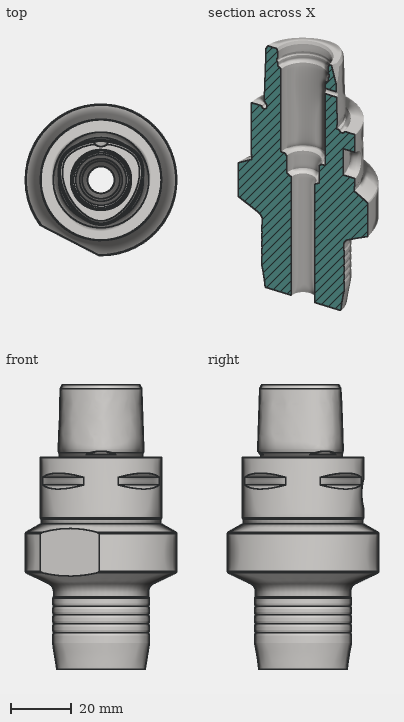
import cadquery as cq
import math

overall_height = 94.0
nose_taper_top = 8.7
groove_first = 12.1
groove_pitch = 2.9
groove_count = 4
groove_width = 1.8
land_top = 23.4
neck_bottom = 24.0
neck_top = 25.8
neck_fillet_top = 28.3
flange_bottom = 31.9
flange_top = 45.2
collar_neck_bottom = 48.0
collar_neck_top = 49.5
collar_bottom = 50.1
collar_top = 70.0
shank_neck_top = 71.5
shank_bottom = 72.8
shank_top = 92.6

nose_end_radius = 14.6
nose_radius = 16.0
groove_depth = 0.3
neck_radius = nose_radius - groove_depth
neck_fillet_outer_radius = 17.3
flange_radius = 25.0
flange_edge_width = 0.3
flange_edge_height = 0.5
collar_neck_radius = 19.7
collar_radius = 20.0
collar_edge = 0.2

flat_distance = 22.5
flat_angle = 27.3

slot_height = 62.1
slot_floor_distance = 17.6
slot_floor_width = 2.4
slot_wall_angle = 30.0
slot_overrun = 0.9

pocket_height = 58.0
pocket_diameter = 10.0
pocket_depth = 4.5

lobe_height = 0.8
shank_bottom_radius = 14.1
shank_top_radius = 13.4
shank_end_radius = 12.7
shank_edge_radius = 14.0
shank_neck_radius = 13.8
outline_points = 72

relief_inner_radius = 14.0
relief_outer_radius = 15.8
relief_trough_radius = (relief_outer_radius - relief_inner_radius) / 2
relief_wall_top = 70.9
relief_run_out_radius = 15.4
relief_run_out_top = 72.8

bore_mouth_radius = 10.1
bore_entry_radius = 9.6
bore_groove_radius = 10.0
bore_radius = 8.4
bore_step_radius = 9.0
seat_radius = 7.05
seat_bore_radius = 6.2
through_radius = 4.4
mouth_chamfer_bottom = 93.0
bore_groove_top = 90.1
bore_groove_bottom = 89.1
bore_groove_chamfer_bottom = 88.7
bore_step_top = 87.1
bore_step_bottom = 86.5
bore_floor = 54.5
seat_bore_top = 53.7
seat_bore_bottom = 47.0
seat_cone_bottom = 46.0

radial_hole_diameter = 1.9
radial_hole_height = 83.3
notch_radius = 3.0
notch_edge_distance = 11.0
notch_tilt = 75.0


def make_body():
    """Turned body: tapered nose with grooves, flange and collar."""
    edge_radius = flange_radius - flange_edge_width
    profile = (
        cq.Workplane("XZ")
        .lineTo(nose_end_radius, 0)
        .lineTo(nose_radius, nose_taper_top)
    )
    for index in range(groove_count):
        middle = groove_first + index * groove_pitch
        profile = (
            profile.lineTo(nose_radius, middle - groove_width / 2)
            .lineTo(nose_radius - groove_depth, middle)
            .lineTo(nose_radius, middle + groove_width / 2)
        )
    profile = (
        profile.lineTo(nose_radius, land_top)
        .lineTo(neck_radius, neck_bottom)
        .lineTo(neck_radius, neck_top)
        .tangentArcPoint((neck_fillet_outer_radius, neck_fillet_top), relative=False)
        .lineTo(edge_radius, flange_bottom)
        .lineTo(flange_radius, flange_bottom + flange_edge_height)
        .lineTo(flange_radius, flange_top - flange_edge_height)
        .lineTo(edge_radius, flange_top)
        .lineTo(collar_neck_radius, collar_neck_bottom)
        .lineTo(collar_neck_radius, collar_neck_top)
        .lineTo(collar_radius, collar_bottom)
        .lineTo(collar_radius, collar_top - collar_edge)
        .lineTo(collar_radius - collar_edge, collar_top)
        .lineTo(0, collar_top)
        .close()
    )
    return profile.revolve(360, (0, 0, 0), (0, 1, 0))


def lobed_outline(plane, mean_radius):
    """Closed constant-width outline with three lobes, one of them toward -Y."""

    def point(fraction):
        angle = 2 * math.pi * fraction
        lobe_phase = 3 * (angle + math.pi / 2)
        support = mean_radius + lobe_height * math.cos(lobe_phase)
        slope = -3 * lobe_height * math.sin(lobe_phase)
        x = support * math.cos(angle) - slope * math.sin(angle)
        y = support * math.sin(angle) + slope * math.cos(angle)
        return (x, y)

    corners = [point(index / outline_points) for index in range(outline_points)]
    return plane.spline(corners, periodic=True).close()


def lobed_frustum(bottom, bottom_radius, top, top_radius):
    lower = lobed_outline(cq.Workplane("XY").workplane(offset=bottom), bottom_radius)
    upper = lobed_outline(lower.workplane(offset=top - bottom), top_radius)
    return upper.loft(ruled=True, combine=True)


def make_shank():
    root = collar_top - 2 * relief_trough_radius
    neck = lobed_frustum(root, shank_neck_radius, shank_neck_top, shank_neck_radius)
    lower_edge = lobed_frustum(shank_neck_top, shank_edge_radius, shank_bottom, shank_bottom_radius)
    taper = lobed_frustum(shank_bottom, shank_bottom_radius, shank_top, shank_top_radius)
    upper_edge = lobed_frustum(shank_top, shank_top_radius, overall_height, shank_end_radius)
    return neck.union(lower_edge).union(taper).union(upper_edge)


def make_root_relief():
    """Ring that rounds a trough into the collar face and trims the lobe tips."""
    middle_radius = relief_inner_radius + relief_trough_radius
    return (
        cq.Workplane("XZ")
        .moveTo(relief_inner_radius, relief_wall_top)
        .lineTo(relief_inner_radius, collar_top)
        .threePointArc(
            (middle_radius, collar_top - relief_trough_radius),
            (relief_outer_radius, collar_top),
        )
        .lineTo(relief_run_out_radius, relief_run_out_top)
        .close()
        .revolve(360, (0, 0, 0), (0, 1, 0))
    )


def make_bore():
    fillet = bore_entry_radius - bore_step_radius
    return (
        cq.Workplane("XZ")
        .lineTo(through_radius, 0)
        .lineTo(through_radius, seat_cone_bottom)
        .lineTo(seat_bore_radius, seat_bore_bottom)
        .lineTo(seat_bore_radius, seat_bore_top)
        .lineTo(seat_radius, bore_floor)
        .lineTo(bore_radius, bore_floor)
        .lineTo(bore_radius, bore_step_bottom)
        .lineTo(bore_step_radius, bore_step_top)
        .radiusArc((bore_entry_radius, bore_step_top + fillet), -fillet)
        .lineTo(bore_entry_radius, bore_groove_chamfer_bottom)
        .lineTo(bore_groove_radius, bore_groove_bottom)
        .lineTo(bore_groove_radius, bore_groove_top)
        .lineTo(bore_entry_radius, bore_groove_top)
        .lineTo(bore_entry_radius, mouth_chamfer_bottom)
        .lineTo(bore_mouth_radius, overall_height)
        .lineTo(0, overall_height)
        .close()
        .revolve(360, (0, 0, 0), (0, 1, 0))
    )


def make_flange_flat():
    """Block that cuts the single flat on the flange."""
    height = collar_neck_bottom - neck_fillet_top
    return (
        cq.Workplane("XY")
        .box(2 * flange_radius, flange_radius, height, centered=(True, False, False))
        .translate((0, -flat_distance - flange_radius, neck_fillet_top))
        .rotate((0, 0, 0), (0, 0, 1), -flat_angle)
    )


def make_gripper_slots():
    """Four straight slots with flared walls, on the diagonals of the collar."""
    reach = collar_radius + slot_overrun - slot_floor_distance
    floor_half = slot_floor_width / 2
    mouth_half = floor_half + reach * math.tan(math.radians(slot_wall_angle))
    slot = (
        cq.Workplane("XZ")
        .moveTo(slot_floor_distance, slot_height - floor_half)
        .lineTo(slot_floor_distance + reach, slot_height - mouth_half)
        .lineTo(slot_floor_distance + reach, slot_height + mouth_half)
        .lineTo(slot_floor_distance, slot_height + floor_half)
        .close()
        .extrude(collar_radius, both=True)
    )
    return [slot.rotate((0, 0, 0), (0, 0, 1), angle) for angle in (45, 135, 225, 315)]


def radial_cylinder(diameter, height, start, length):
    """Cylinder along +Y, starting at a distance from the tool axis."""
    return cq.Workplane(
        cq.Solid.makeCylinder(
            diameter / 2, length, cq.Vector(0, start, height), cq.Vector(0, 1, 0)
        )
    )


def make_notch():
    """Tilted round cut across the end edge of the shank."""
    tilt = math.radians(notch_tilt)
    axis = cq.Vector(0, math.cos(tilt), -math.sin(tilt))
    centre_y = notch_edge_distance + notch_radius / math.sin(tilt)
    half_length = 2 * notch_radius
    start = cq.Vector(0, centre_y, overall_height) - axis * half_length
    return cq.Workplane(cq.Solid.makeCylinder(notch_radius, 2 * half_length, start, axis))


body = make_body().cut(make_flange_flat())
for slot in make_gripper_slots():
    body = body.cut(slot)
body = body.cut(
    radial_cylinder(pocket_diameter, pocket_height, collar_radius - pocket_depth, 2 * pocket_depth)
)

result = (
    body.union(make_shank())
    .cut(make_root_relief())
    .cut(make_bore())
    .cut(radial_cylinder(radial_hole_diameter, radial_hole_height, 0, collar_radius))
    .cut(make_notch())
)